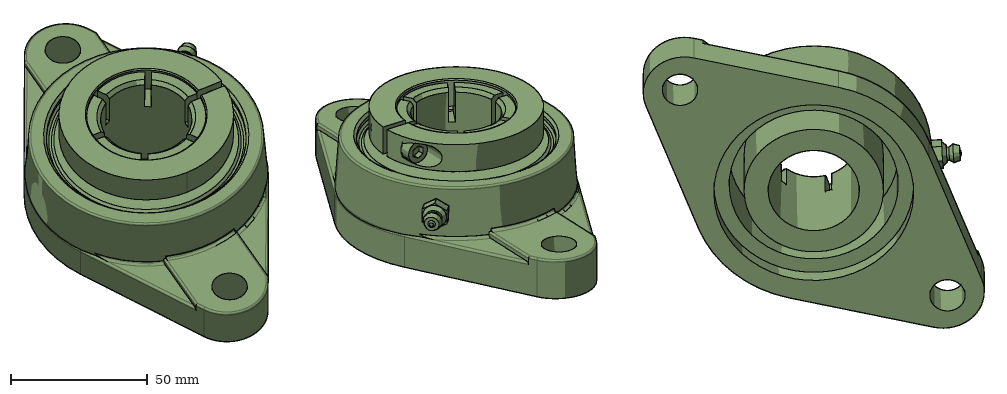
import cadquery as cq
import math

FLANGE_HALF_WIDTH = 44.54
FLANGE_R = 46.8
TAB_R = 15.1
TAB_X = 78 - TAB_R
BOLT_X = 65.0
BOLT_D = 13.0
WING_TOP = 13.4
WING_ROUND = 1.0
PAD_TOP = 15.8
PAD_HALF_WIDTH = 15.0
PAD_ROUND = 0.8
BODY_BASE_R = 44.5
BODY_TOP_R = 43.0
BODY_TOP = 33.9
BODY_ROUND = 0.8
FOOT_ROUND = 1.1
SEAT_D = 73.2
SEAT_MOUTH_D = 75.2

SEAT_MOUTH_DEPTH = (SEAT_MOUTH_D - SEAT_D) / 2
OUTER_RING_TOP = 31.5
OUTER_RING_BOTTOM = 6.2
OUTER_RING_BORE = 62.0
OUTER_RING_LIP_D = 71.5
SEAL_D = 69.5
SEAL_FACE_D = 67.7
SEAL_THICKNESS = 1.5
BORE_D = 33.4
BORE_CHAMFER = 1.4
NECK_D = 51.0
NOSE_D = 43.7
INNER_RING_BOTTOM = 1.5
INNER_RING_TOP = 44.5
SLOT_COUNT = 6
SLOT_WIDTH = 2.5
SLOT_FLOOR = 30.9

COLLAR_D = 64.0
COLLAR_BOTTOM = 34.8
COLLAR_TOP = 45.9
COLLAR_CHAMFER = 0.5
SCREW_Y = 27.0
SCREW_Z = (COLLAR_BOTTOM + COLLAR_TOP) / 2
SCREW_HEAD_D = 8.5
SCREW_POCKET_D = 9.0
SCREW_HEAD_X = 13.9
SCREW_HEAD_LENGTH = 5.0
SCREW_D = 5.0
SCREW_REACH = 12.5
SOCKET_ACROSS_CORNERS = 5.0
SOCKET_DEPTH = 2.5

NIPPLE_ANGLE = 135
NIPPLE_Z = 23.9
HEX_ACROSS_CORNERS = 10.6
HEX_START = 43.0
HEX_END = 47.3
STEM_START = 39.0
STEM_D = 4.2
SHOULDER_BASE_D = 8.9
SHOULDER_TOP_D = 6.2
SHOULDER_END = 48.8
NIPPLE_NECK_D = 5.0
NIPPLE_NECK_END = 49.8
NIPPLE_HEAD_D = 7.0
NIPPLE_HEAD_WIDEST = 51.3
NIPPLE_FACE_D = 5.5
NIPPLE_FACE = 53.7
NIPPLE_BUTTON_BASE_D = 2.8
NIPPLE_BUTTON_D = 1.48
NIPPLE_TIP = 54.1


def tube(outer_d, inner_d, bottom, top):
    """Plain ring around the Z axis."""
    return (
        cq.Workplane("XY", origin=(0, 0, bottom))
        .circle(outer_d / 2)
        .circle(inner_d / 2)
        .extrude(top - bottom)
    )


def revolved(points):
    """Solid of revolution about Z from (radius, height) points."""
    return cq.Workplane("XZ").polyline(points).close().revolve(360, (0, 0, 0), (0, 1, 0))


def flange_plate(height, inset=0.0):
    """Round flange with straight sides tangent to both tab ends, its outline moved in by inset."""
    middle_r = FLANGE_R - inset
    tab_r = TAB_R - inset
    arc_offset = FLANGE_R - FLANGE_HALF_WIDTH
    side_angle = math.atan2(arc_offset, TAB_X) + math.acos(
        (FLANGE_R - TAB_R) / math.hypot(TAB_X, arc_offset)
    )
    side_x = middle_r * math.cos(side_angle)
    side_y = middle_r * math.sin(side_angle) - arc_offset
    end_x = TAB_X + tab_r * math.cos(side_angle)
    end_y = tab_r * math.sin(side_angle)
    return (
        cq.Workplane("XY")
        .moveTo(-side_x, side_y)
        .threePointArc((0, FLANGE_HALF_WIDTH - inset), (side_x, side_y))
        .lineTo(end_x, end_y)
        .threePointArc((TAB_X + tab_r, 0), (end_x, -end_y))
        .lineTo(side_x, -side_y)
        .threePointArc((0, inset - FLANGE_HALF_WIDTH), (-side_x, -side_y))
        .lineTo(-end_x, -end_y)
        .threePointArc((-TAB_X - tab_r, 0), (-end_x, end_y))
        .close()
        .extrude(height)
    )


def body_foot(foot_z):
    """Ring with a concave quarter-round outside, where the round body rises from a flat."""
    outer_r = BODY_BASE_R + FOOT_ROUND
    middle = FOOT_ROUND * (1 - math.sqrt(0.5))
    return (
        cq.Workplane("XZ")
        .moveTo(BODY_TOP_R, foot_z)
        .lineTo(outer_r, foot_z)
        .threePointArc(
            (BODY_BASE_R + middle, foot_z + middle),
            (BODY_BASE_R, foot_z + FOOT_ROUND),
        )
        .lineTo(BODY_TOP_R, foot_z + FOOT_ROUND)
        .close()
        .revolve(360, (0, 0, 0), (0, 1, 0))
    )


def make_housing():
    """Flange with rounded wings and bolt pads, carrying the bored round body."""
    wings = flange_plate(WING_TOP).faces(">Z").edges().fillet(WING_ROUND)
    pad_strip = cq.Workplane("XY").rect(2 * (TAB_X + TAB_R), 2 * PAD_HALF_WIDTH).extrude(PAD_TOP)
    pads = flange_plate(PAD_TOP).intersect(pad_strip).faces(">Z").edges().fillet(PAD_ROUND)
    body = revolved([
        (0, 0),
        (BODY_BASE_R, 0),
        (BODY_BASE_R, WING_TOP),
        (BODY_TOP_R, BODY_TOP),
        (0, BODY_TOP),
    ]).faces(">Z").edges().fillet(BODY_ROUND)
    wing_foot = body_foot(WING_TOP).intersect(flange_plate(BODY_TOP, WING_ROUND))
    pad_foot_strip = cq.Workplane("XY").rect(
        2 * (TAB_X + TAB_R), 2 * (PAD_HALF_WIDTH - PAD_ROUND)
    ).extrude(BODY_TOP)
    pad_feet = body_foot(PAD_TOP).intersect(pad_foot_strip)
    seat = revolved([
        (0, 0),
        (SEAT_D / 2, 0),
        (SEAT_D / 2, BODY_TOP - SEAT_MOUTH_DEPTH),
        (SEAT_MOUTH_D / 2, BODY_TOP),
        (0, BODY_TOP),
    ])
    bolt_holes = (
        cq.Workplane("XY")
        .pushPoints([(-BOLT_X, 0), (BOLT_X, 0)])
        .circle(BOLT_D / 2)
        .extrude(PAD_TOP)
    )
    return wings.union(pads).union(body).union(wing_foot).union(pad_feet).cut(seat).cut(bolt_holes)


SEAL_SEAT = OUTER_RING_TOP - (SEAT_D - OUTER_RING_LIP_D) / 2
SEAL_TOP = SEAL_SEAT + (SEAL_D - SEAL_FACE_D) / 2


def make_outer_ring():
    """Outer race with a bevelled lip and a counterbore for the seal."""
    return revolved([
        (OUTER_RING_BORE / 2, OUTER_RING_BOTTOM),
        (SEAT_D / 2, OUTER_RING_BOTTOM),
        (SEAT_D / 2, OUTER_RING_TOP),
        (OUTER_RING_LIP_D / 2, SEAL_SEAT),
        (SEAL_D / 2, SEAL_SEAT),
        (SEAL_D / 2, SEAL_SEAT - SEAL_THICKNESS),
        (OUTER_RING_BORE / 2, SEAL_SEAT - SEAL_THICKNESS),
    ])


def make_seal():
    """Shield with a bevelled rim, closing the gap between the rings."""
    return revolved([
        (NECK_D / 2, SEAL_SEAT - SEAL_THICKNESS),
        (SEAL_D / 2, SEAL_SEAT - SEAL_THICKNESS),
        (SEAL_D / 2, SEAL_SEAT),
        (SEAL_FACE_D / 2, SEAL_TOP),
        (NECK_D / 2, SEAL_TOP),
    ])


def make_inner_ring():
    """Inner race whose upper end is split into fingers by radial slots."""
    neck = tube(NECK_D, BORE_D, INNER_RING_BOTTOM, COLLAR_BOTTOM)
    nose = tube(NOSE_D, BORE_D, COLLAR_BOTTOM, INNER_RING_TOP)
    ring = neck.union(nose).faces(">Z").edges("%CIRCLE").edges(
        cq.selectors.RadiusNthSelector(0)
    ).chamfer(BORE_CHAMFER)
    slot = cq.Workplane("XY").box(
        NECK_D, SLOT_WIDTH, INNER_RING_TOP - SLOT_FLOOR, centered=(False, True, False)
    ).translate((0, 0, SLOT_FLOOR))
    for index in range(SLOT_COUNT):
        ring = ring.cut(slot.rotate((0, 0, 0), (0, 0, 1), 90 + index * 360 / SLOT_COUNT))
    return ring


def screw_rod(diameter, start_x, end_x):
    """Cylinder along the screw axis."""
    return (
        cq.Workplane("YZ", origin=(start_x, SCREW_Y, SCREW_Z))
        .circle(diameter / 2)
        .extrude(end_x - start_x)
    )


HEAD_SEAT_X = -SCREW_HEAD_X + SCREW_HEAD_LENGTH


def make_collar():
    """Clamping ring, split on the +Y side, with a pocket and hole for its screw."""
    collar = tube(COLLAR_D, NOSE_D, COLLAR_BOTTOM, COLLAR_TOP)
    collar = collar.faces(">Z").edges(cq.selectors.RadiusNthSelector(0)).chamfer(COLLAR_CHAMFER)
    split = cq.Workplane("XY").box(
        SLOT_WIDTH, COLLAR_D, COLLAR_TOP - COLLAR_BOTTOM, centered=(True, False, False)
    ).translate((0, 0, COLLAR_BOTTOM))
    head_pocket = screw_rod(SCREW_POCKET_D, -COLLAR_D / 2, HEAD_SEAT_X)
    screw_hole = screw_rod(SCREW_D, HEAD_SEAT_X, SCREW_REACH)
    return collar.cut(split).cut(head_pocket).cut(screw_hole)


def make_screw():
    """Socket head screw that closes the split of the collar."""
    head = screw_rod(SCREW_HEAD_D, -SCREW_HEAD_X, HEAD_SEAT_X)
    shank = screw_rod(SCREW_D, HEAD_SEAT_X, SCREW_REACH)
    socket = (
        cq.Workplane("YZ", origin=(-SCREW_HEAD_X, SCREW_Y, SCREW_Z))
        .transformed(rotate=(0, 0, 90))
        .polygon(6, SOCKET_ACROSS_CORNERS)
        .extrude(SOCKET_DEPTH)
    )
    return head.union(shank).cut(socket)


def make_nipple():
    """Grease nipple: stem, hexagon and a grooved round head."""
    turned = revolved([
        (0, STEM_START),
        (STEM_D / 2, STEM_START),
        (STEM_D / 2, HEX_END),
        (SHOULDER_BASE_D / 2, HEX_END),
        (SHOULDER_TOP_D / 2, SHOULDER_END),
        (NIPPLE_NECK_D / 2, SHOULDER_END),
        (NIPPLE_NECK_D / 2, NIPPLE_NECK_END),
        (NIPPLE_HEAD_D / 2, NIPPLE_HEAD_WIDEST),
        (NIPPLE_FACE_D / 2, NIPPLE_FACE),
        (NIPPLE_BUTTON_BASE_D / 2, NIPPLE_FACE),
        (NIPPLE_BUTTON_D / 2, NIPPLE_TIP),
        (0, NIPPLE_TIP),
    ])
    hexagon = (
        cq.Workplane("XY", origin=(0, 0, HEX_START))
        .polygon(6, HEX_ACROSS_CORNERS)
        .extrude(HEX_END - HEX_START)
    )
    return (
        turned.union(hexagon)
        .rotate((0, 0, 0), (0, 1, 0), 90)
        .rotate((0, 0, 0), (0, 0, 1), NIPPLE_ANGLE)
        .translate((0, 0, NIPPLE_Z))
    )


nipple = make_nipple()
housing = make_housing().cut(nipple)
outer_ring = make_outer_ring()
seal = make_seal()
inner_ring = make_inner_ring()
collar = make_collar()
screw = make_screw()

result = cq.Compound.makeCompound([
    housing.val(),
    outer_ring.val(),
    seal.val(),
    inner_ring.val(),
    collar.val(),
    screw.val(),
    nipple.val(),
])